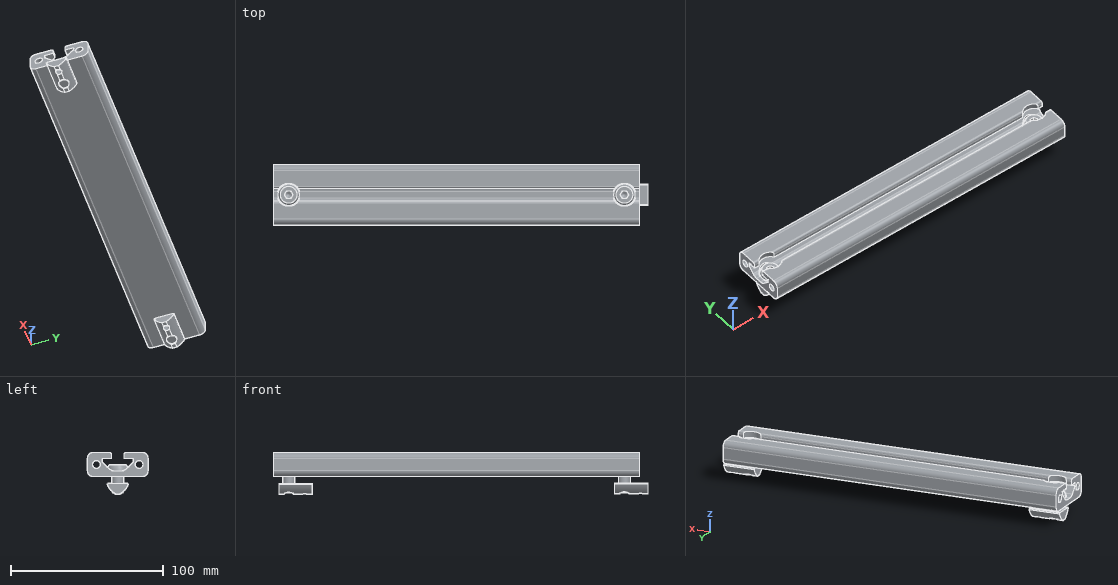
import cadquery as cq
import math

rail_length = 240.0
rail_width = 40.0
rail_height = 16.0
rail_corner_radius = 4.0

slot_width = 8.0
slot_edge_radius = 1.5
lip_thickness = 4.2
floor_thickness = 3.8
cavity_width = 20.0
cavity_floor_width = 8.4
cavity_floor_radius = 5.0
cavity_flank_rise = (cavity_width - cavity_floor_width) / 2

end_hole_diameter = 4.98
end_hole_spacing = 28.0
end_hole_height = rail_height / 2

fastener_end_distance = 10.0
fastener_positions = (fastener_end_distance, rail_length - fastener_end_distance)
head_access_diameter = 15.0
clearance_diameter = 9.0

nut_length = 22.0
nut_short_end = 6.5
nut_width = 14.0
nut_height = 7.0
nut_gaps = (4.5, 4.2)
nut_edge_chamfer = 0.7
nut_flat_width = 3.0
nut_flank_radius = 14.0
thread_diameter = 6.8
ball_hole_diameter = 4.0
ball_hole_offset = 10.5
ball_hole_depth = 5.0

head_diameter = 14.0
head_flat_diameter = 11.0
head_height = 4.2
shank_diameter = 8.0
screw_length = 14.4
socket_across_flats = 5.0
socket_depth = 2.0
socket_tip_angle = 120.0
head_top = floor_thickness + head_height


def make_rail():
    block = (
        cq.Workplane("YZ")
        .rect(rail_width, rail_height)
        .extrude(rail_length)
        .translate((0, 0, rail_height / 2))
        .edges("|X")
        .fillet(rail_corner_radius)
    )
    cavity = (
        cq.Workplane("YZ")
        .moveTo(-cavity_floor_width / 2, floor_thickness)
        .lineTo(cavity_floor_width / 2, floor_thickness)
        .lineTo(cavity_width / 2, floor_thickness + cavity_flank_rise)
        .lineTo(cavity_width / 2, rail_height - lip_thickness)
        .lineTo(-cavity_width / 2, rail_height - lip_thickness)
        .lineTo(-cavity_width / 2, floor_thickness + cavity_flank_rise)
        .close()
        .extrude(rail_length)
        .edges("|X and <Z")
        .fillet(cavity_floor_radius)
    )
    slot = (
        cq.Workplane("YZ", origin=(0, 0, rail_height - lip_thickness / 2))
        .rect(slot_width, lip_thickness)
        .extrude(rail_length)
    )
    end_holes = (
        cq.Workplane("YZ", origin=(0, 0, end_hole_height))
        .rarray(end_hole_spacing, 1, 2, 1)
        .circle(end_hole_diameter / 2)
        .extrude(rail_length)
    )
    slot_edges = cq.selectors.BoxSelector(
        (0, -slot_width, rail_height - slot_edge_radius),
        (rail_length, slot_width, rail_height + slot_edge_radius),
    )
    rail = block.cut(cavity).cut(slot).cut(end_holes)
    rail = rail.edges(slot_edges).edges("|X").fillet(slot_edge_radius)
    for x in fastener_positions:
        head_access = (
            cq.Workplane("XY", origin=(x, 0, floor_thickness))
            .circle(head_access_diameter / 2)
            .extrude(rail_height)
        )
        clearance = cq.Workplane("XY", origin=(x, 0, 0)).circle(clearance_diameter / 2).extrude(rail_height)
        rail = rail.cut(head_access).cut(clearance)
    return rail


def make_nut(x, gap):
    nut_top = -gap
    nut_bottom = nut_top - nut_height
    half_width = nut_width / 2
    half_flat = nut_flat_width / 2
    flank_top = nut_top - nut_edge_chamfer

    body = (
        cq.Workplane("YZ", origin=(x - nut_short_end, 0, 0))
        .moveTo(half_width - nut_edge_chamfer, nut_top)
        .lineTo(half_width, flank_top)
        .radiusArc((half_flat, nut_bottom), nut_flank_radius)
        .lineTo(-half_flat, nut_bottom)
        .radiusArc((-half_width, flank_top), nut_flank_radius)
        .lineTo(-half_width + nut_edge_chamfer, nut_top)
        .close()
        .extrude(nut_length)
    )
    thread_hole = cq.Workplane("XY", origin=(x, 0, nut_bottom)).circle(thread_diameter / 2).extrude(nut_height)
    ball_hole = (
        cq.Workplane("XY", origin=(x + ball_hole_offset, 0, nut_bottom))
        .circle(ball_hole_diameter / 2)
        .extrude(ball_hole_depth)
    )
    return body.cut(thread_hole).cut(ball_hole)


def make_screw(x, gap):
    head_radius = head_diameter / 2
    flat_radius = head_flat_diameter / 2
    dome_inset = head_radius - flat_radius
    dome_radius = (head_height**2 + dome_inset**2) / (2 * dome_inset)
    shank_end = -gap
    tip = floor_thickness - screw_length

    body = (
        cq.Workplane("XZ")
        .moveTo(0, head_top)
        .lineTo(flat_radius, head_top)
        .radiusArc((head_radius, floor_thickness), dome_radius)
        .lineTo(shank_diameter / 2, floor_thickness)
        .lineTo(shank_diameter / 2, shank_end)
        .lineTo(thread_diameter / 2, shank_end)
        .lineTo(thread_diameter / 2, tip)
        .lineTo(0, tip)
        .close()
        .revolve(360, (0, 0), (0, 1))
    )
    socket_corners = socket_across_flats / math.cos(math.pi / 6)
    socket = cq.Workplane("XY", origin=(0, 0, head_top)).polygon(6, socket_corners).extrude(-socket_depth)
    tip_radius = socket_across_flats / 2
    tip_depth = tip_radius / math.tan(math.radians(socket_tip_angle / 2))
    socket_tip = cq.Workplane("XY").add(
        cq.Solid.makeCone(
            tip_radius, 0, tip_depth, cq.Vector(0, 0, head_top - socket_depth), cq.Vector(0, 0, -1)
        )
    )
    return body.cut(socket).cut(socket_tip).translate((x, 0, 0))


rail = make_rail()
nuts = [make_nut(x, gap) for x, gap in zip(fastener_positions, nut_gaps)]
screws = [make_screw(x, gap) for x, gap in zip(fastener_positions, nut_gaps)]

result = cq.Compound.makeCompound([body.val() for body in [rail, *nuts, *screws]])